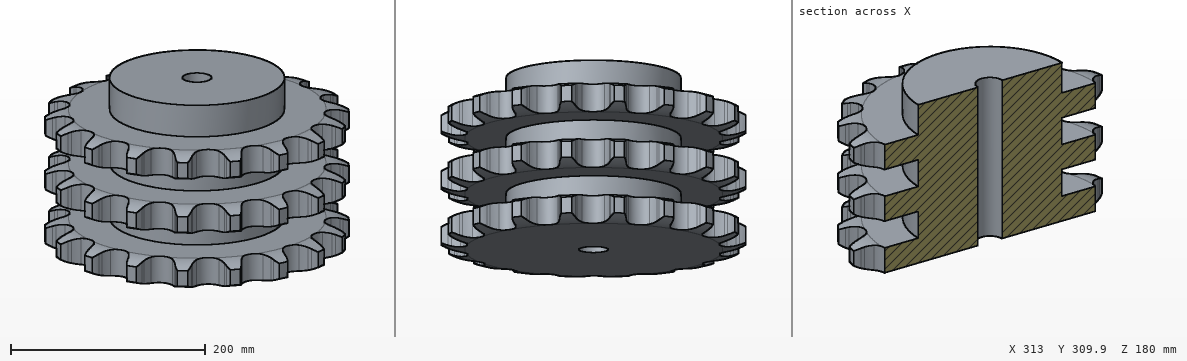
import math

import cadquery as cq

TEETH = 18
STRANDS = 3
PITCH = 50.8
ROLLER_DIAMETER = 29.21
STRAND_SPACING = 58.55
TOOTH_WIDTH = 28.8
OUTER_DIAMETER = 313.0

HUB_DIAMETER = 180.0
BORE_DIAMETER = 30.0
TOTAL_HEIGHT = 180.0

RELIEF_RADIUS = 51.0
RELIEF_DEPTH = 6.0

PITCH_ANGLE = 360.0 / TEETH
PITCH_RADIUS = PITCH / (2 * math.sin(math.radians(PITCH_ANGLE / 2)))
OUTER_RADIUS = OUTER_DIAMETER / 2

CUTTER_OVERRUN = 10.0

SEATING_CLEARANCE = 0.0381
SEATING_RADIUS = 0.5025 * ROLLER_DIAMETER + SEATING_CLEARANCE
WORKING_RADIUS = 1.3025 * ROLLER_DIAMETER + SEATING_CLEARANCE
WORKING_CENTER_DISTANCE = 0.8 * ROLLER_DIAMETER
TOPPING_CENTER_DISTANCE = 1.4 * ROLLER_DIAMETER
SEATING_ANGLE = 35 + 60 / TEETH
WORKING_ANGLE = 18 - 56 / TEETH
TOPPING_ANGLE = 17 - 64 / TEETH


def polar(center, radius, angle):
    """Point at a distance and an angle (degrees) from a center."""
    turn = math.radians(angle)
    return (center[0] + radius * math.cos(turn), center[1] + radius * math.sin(turn))


def mirrored(point):
    """The same point on the other side of the gap's center line."""
    return (-point[0], point[1])


def tooth_gap():
    """Cutter for the gap centered on +Y, one tooth width high."""
    roller_center = (0, PITCH_RADIUS)

    seating_end_angle = -SEATING_ANGLE
    working_end_angle = seating_end_angle + WORKING_ANGLE
    gap_bottom = polar(roller_center, SEATING_RADIUS, -90)
    seating_end = polar(roller_center, SEATING_RADIUS, seating_end_angle)

    working_center = polar(roller_center, WORKING_CENTER_DISTANCE, 180 + seating_end_angle)
    working_middle = polar(working_center, WORKING_RADIUS, seating_end_angle + WORKING_ANGLE / 2)
    working_end = polar(working_center, WORKING_RADIUS, working_end_angle)

    straight_length = (
        TOPPING_CENTER_DISTANCE * math.sin(math.radians(TOPPING_ANGLE))
        - WORKING_CENTER_DISTANCE * math.sin(math.radians(WORKING_ANGLE))
    )
    straight_end = polar(working_end, straight_length, working_end_angle + 90)

    topping_radius = (
        WORKING_CENTER_DISTANCE * math.cos(math.radians(WORKING_ANGLE))
        + TOPPING_CENTER_DISTANCE * math.cos(math.radians(TOPPING_ANGLE))
        - WORKING_RADIUS
    )
    topping_center = polar(straight_end, topping_radius, working_end_angle)

    center_distance = math.hypot(*topping_center)
    center_direction = math.degrees(math.atan2(topping_center[1], topping_center[0]))
    cosine = (
        (OUTER_RADIUS**2 + center_distance**2 - topping_radius**2)
        / (2 * OUTER_RADIUS * center_distance)
    )
    tip_direction = center_direction + math.degrees(math.acos(cosine))
    tip = polar((0, 0), OUTER_RADIUS, tip_direction)
    topping_start_angle = 180 + working_end_angle
    topping_end_angle = math.degrees(math.atan2(tip[1] - topping_center[1], tip[0] - topping_center[0]))
    topping_middle = polar(topping_center, topping_radius, (topping_start_angle + topping_end_angle) / 2)
    beyond_tip = (tip[0], OUTER_RADIUS + CUTTER_OVERRUN)

    return (
        cq.Workplane("XY")
        .moveTo(*beyond_tip)
        .lineTo(*tip)
        .threePointArc(topping_middle, straight_end)
        .lineTo(*working_end)
        .threePointArc(working_middle, seating_end)
        .threePointArc(gap_bottom, mirrored(seating_end))
        .threePointArc(mirrored(working_middle), mirrored(working_end))
        .lineTo(*mirrored(straight_end))
        .threePointArc(mirrored(topping_middle), mirrored(tip))
        .lineTo(*mirrored(beyond_tip))
        .close()
        .extrude(TOOTH_WIDTH)
    )


def relieved_blank():
    """Disc whose rim curves inward on both faces, as a revolved half section."""
    relief_reach = math.sqrt(RELIEF_RADIUS**2 - (RELIEF_RADIUS - RELIEF_DEPTH) ** 2)
    face_radius = OUTER_RADIUS - relief_reach
    half_angle = math.degrees(math.asin(relief_reach / RELIEF_RADIUS)) / 2
    lower_middle = polar((face_radius, RELIEF_RADIUS), RELIEF_RADIUS, -90 + half_angle)
    upper_middle = (lower_middle[0], TOOTH_WIDTH - lower_middle[1])
    return (
        cq.Workplane("XZ")
        .moveTo(0, 0)
        .lineTo(face_radius, 0)
        .threePointArc(lower_middle, (OUTER_RADIUS, RELIEF_DEPTH))
        .lineTo(OUTER_RADIUS, TOOTH_WIDTH - RELIEF_DEPTH)
        .threePointArc(upper_middle, (face_radius, TOOTH_WIDTH))
        .lineTo(0, TOOTH_WIDTH)
        .close()
        .revolve(360, (0, 0, 0), (0, 1, 0))
    )


def toothed_disc():
    """One sprocket strand with a tooth on the +X axis."""
    disc = relieved_blank()
    gap = tooth_gap()
    for index in range(TEETH):
        disc = disc.cut(gap.rotate((0, 0, 0), (0, 0, 1), index * PITCH_ANGLE))
    return disc


def sprocket():
    """Hub with the strands stacked up from its base and a through bore."""
    body = cq.Workplane("XY").circle(HUB_DIAMETER / 2).extrude(TOTAL_HEIGHT)
    disc = toothed_disc()
    for strand in range(STRANDS):
        body = body.union(disc.translate((0, 0, strand * STRAND_SPACING)))
    bore = cq.Workplane("XY").circle(BORE_DIAMETER / 2).extrude(TOTAL_HEIGHT)
    return body.cut(bore)


result = sprocket()